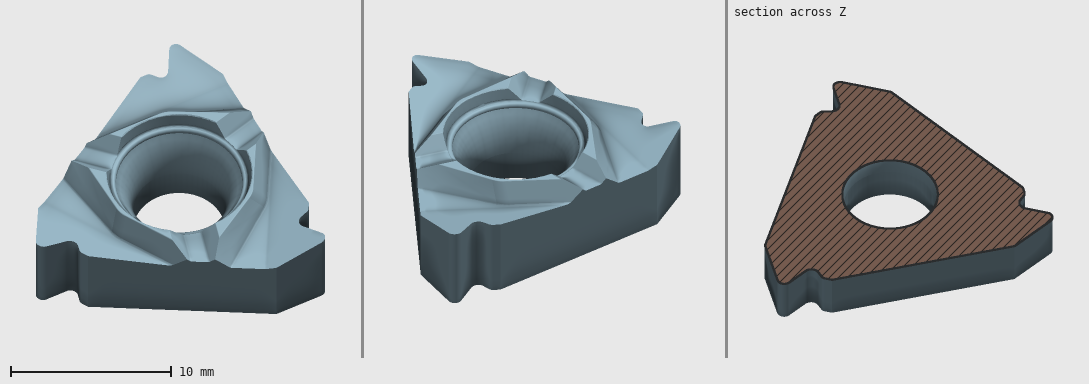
import cadquery as cq
import math


corners = 3
corner_pitch = 360.0 / corners
thickness = 5.85
side_distance = 6.33
top_edge_radius = 0.07
far = 10.79

flank_angle = 60.0
flank_distance = 8.67
tooth_tip_y = -9.31
tooth_tip_radius = 0.45
groove_top_y = -7.6
groove_radius = 0.49
land_y = -8.16
groove_exit_angle = 45.0
land_blend_radius = 0.36

floor_z = 4.57
rake_start_y = -5.7
rake_angle = 14.4
rake_blend_radius = 0.45
wall_foot_y = -5.55
wall_top_y = -4.65
wall_foot_bend_x = -1.13
wall_top_bend_x = -1.4
wall_foot_angle = 21.5
wall_top_angle = 28.5
wall_bend_setback = 0.41
wall_foot_radius = 0.16

notch_angle = 195.0
notch_offset = -0.09
notch_floor_z = 5.05
notch_floor_width = 1.1
notch_wall_slope = 41.0
notch_blend_radius = 0.22
notch_length = 8.09

hole_diameter = 5.7
hole_radius = hole_diameter / 2
trumpet_radius = 3.88
trumpet_angle = 44.0
mouth_z = 4.71
lip_z = 4.98
lip_edge_radius = 0.22
lip_root_radius = 0.16
rim_radius = 4.53

cos_flank = math.cos(math.radians(flank_angle))
sin_flank = math.sin(math.radians(flank_angle))


def turned(point, index):
    """Turn a plan point about the hole axis to the given corner."""
    angle = math.radians(corner_pitch * index)
    x, y = point
    return (x * math.cos(angle) - y * math.sin(angle), x * math.sin(angle) + y * math.cos(angle))


def cut_at_corners(body, cutter):
    for index in range(corners):
        body = body.cut(cutter.rotate((0, 0, 0), (0, 0, 1), corner_pitch * index))
    return body


def corner_outline():
    """Stretches of one corner in order, each as (kind, points after its start)."""
    flank_start = (-side_distance, -(flank_distance - side_distance * sin_flank) / cos_flank)

    tip_y = tooth_tip_y + tooth_tip_radius
    tip_x = -(flank_distance - tooth_tip_radius + tip_y * cos_flank) / sin_flank
    tip_rise = tip_y - tooth_tip_radius * cos_flank
    tip_half = tooth_tip_radius * sin_flank

    groove_y = groove_top_y - groove_radius
    flank_gap = tooth_tip_radius + groove_radius
    groove_x = tip_x + (flank_gap + (groove_y - tip_y) * cos_flank) / sin_flank
    groove_entry = (groove_x - groove_radius * sin_flank, groove_y + groove_radius * cos_flank)
    slope = math.radians(groove_exit_angle)
    groove_exit = (groove_x + groove_radius * math.sin(slope), groove_y + groove_radius * math.cos(slope))

    corner_x = groove_exit[0] + (groove_exit[1] - land_y) / math.tan(slope)
    setback = land_blend_radius * math.tan(slope / 2)
    slope_end = (corner_x - setback * math.cos(slope), land_y + setback * math.sin(slope))
    land_start = (corner_x + setback, land_y)
    land_end = ((side_distance + land_y * sin_flank) / cos_flank, land_y)

    return [
        ("line", [flank_start]),
        ("line", [(tip_x - tip_half, tip_rise)]),
        ("arc", [(tip_x, tooth_tip_y), (tip_x + tip_half, tip_rise)]),
        ("line", [groove_entry]),
        ("arc", [(groove_x, groove_top_y), groove_exit]),
        ("line", [slope_end]),
        ("tangent", [land_start]),
        ("line", [land_end]),
    ]


def make_body():
    stretches = corner_outline()
    land_end = stretches[-1][1][0]
    outline = cq.Workplane("XY").moveTo(*turned(land_end, -1))
    for index in range(corners):
        for kind, points in stretches:
            targets = [turned(point, index) for point in points]
            if kind == "arc":
                outline = outline.threePointArc(*targets)
            elif kind == "tangent":
                outline = outline.tangentArcPoint(targets[0], relative=False)
            else:
                outline = outline.lineTo(*targets[0])
    return outline.close().extrude(thickness)


def wall_section(sketch, bend_x, wall_y, angle):
    """Region in front of the chip breaker wall at one height."""
    slope = math.radians(angle)
    before = (bend_x - wall_bend_setback * math.cos(slope), wall_y + wall_bend_setback * math.sin(slope))
    return (
        sketch.moveTo(-far, -far)
        .lineTo(-far, wall_y + (far + bend_x) * math.tan(slope))
        .lineTo(*before)
        .tangentArcPoint((bend_x + wall_bend_setback, wall_y), relative=False)
        .lineTo(far, wall_y)
        .lineTo(far, -far)
        .close()
    )


def chip_breaker_cutter():
    sketch = cq.Workplane("XY").workplane(offset=floor_z)
    sketch = wall_section(sketch, wall_foot_bend_x, wall_foot_y, wall_foot_angle)
    sketch = sketch.workplane(offset=thickness - floor_z)
    pocket = wall_section(sketch, wall_top_bend_x, wall_top_y, wall_top_angle).loft(ruled=True)
    pocket = pocket.faces("<Z").edges().fillet(wall_foot_radius)

    rake = math.radians(rake_angle)
    setback = rake_blend_radius * math.tan(rake / 2)
    run = far + rake_start_y
    rake_wedge = (
        cq.Workplane("YZ", origin=(-far, 0, 0))
        .moveTo(-far, floor_z)
        .lineTo(-far, floor_z + run * math.tan(rake))
        .lineTo(rake_start_y - setback * math.cos(rake), floor_z + setback * math.sin(rake))
        .tangentArcPoint((rake_start_y + setback, floor_z), relative=False)
        .close()
        .extrude(2 * far)
    )
    return pocket.cut(rake_wedge)


def notch_cutter():
    half_floor = notch_floor_width / 2
    half_top = half_floor + (thickness - notch_floor_z) / math.tan(math.radians(notch_wall_slope))
    return (
        cq.Workplane("YZ")
        .polyline(
            [
                (notch_offset - half_floor, notch_floor_z),
                (notch_offset + half_floor, notch_floor_z),
                (notch_offset + half_top, thickness),
                (notch_offset - half_top, thickness),
            ]
        )
        .close()
        .extrude(notch_length)
        .edges("|X and <Z")
        .fillet(notch_blend_radius)
        .rotate((0, 0, 0), (0, 0, 1), notch_angle)
    )


def screw_hole_cutter():
    flare = math.radians(trumpet_angle)
    mouth_radius = hole_radius + trumpet_radius * (1 - math.cos(flare))
    throat_z = mouth_z - trumpet_radius * math.sin(flare)
    lip_radius = mouth_radius + lip_edge_radius
    return (
        cq.Workplane("XZ")
        .lineTo(hole_radius, 0)
        .lineTo(hole_radius, throat_z)
        .tangentArcPoint((mouth_radius, mouth_z), relative=False)
        .lineTo(mouth_radius, lip_z - lip_edge_radius)
        .tangentArcPoint((lip_radius, lip_z), relative=False)
        .tangentArcPoint((lip_radius + lip_root_radius, lip_z + lip_root_radius), relative=False)
        .lineTo(rim_radius, thickness)
        .lineTo(0, thickness)
        .close()
        .revolve(360, (0, 0, 0), (0, 1, 0))
    )


result = make_body()
result = cut_at_corners(result, chip_breaker_cutter())
result = cut_at_corners(result, notch_cutter())
result = result.cut(screw_hole_cutter())
result = result.faces(">Z").edges().fillet(top_edge_radius)